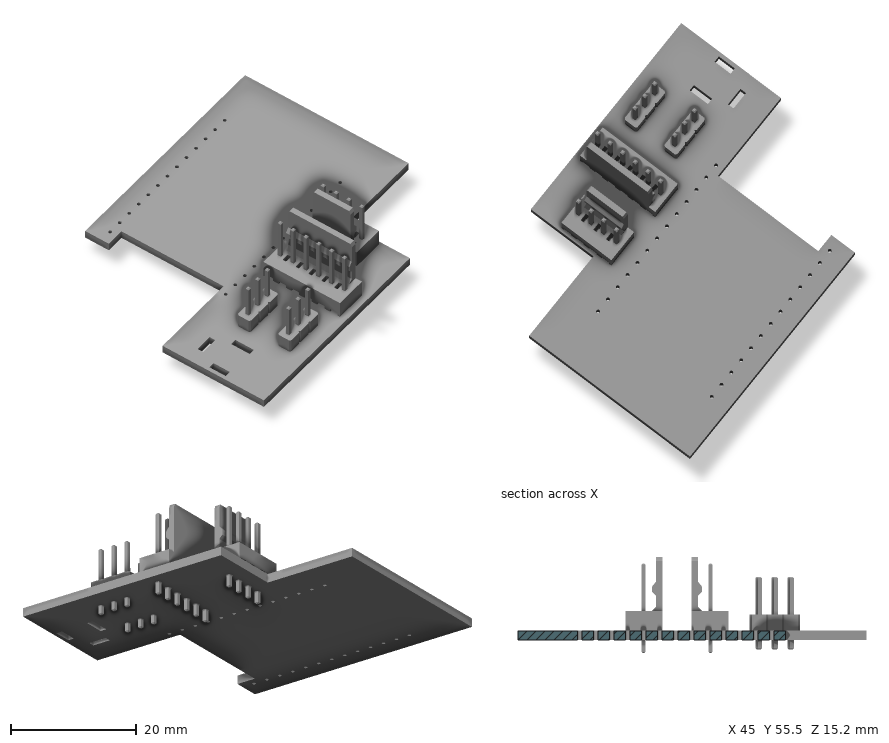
import cadquery as cq


board_width = 45.0
board_depth = 55.45
board_thickness = 1.5
back_step_x = 32.4
back_step_y = 38.9
tab_width = 4.7
tab_front_y = 12.85
notch_back_y = 16.25
front_leg_x = 24.9

row_hole_count = 13
row_length = 30.5
pitch = row_length / (row_hole_count - 1)
row_hole_diameter = 0.6
row_front_y = 15.1
left_row_x = 3.3
row_spacing_steps = 9
row_spacing = row_spacing_steps * pitch

slot_width = 1.1
long_slot = 3.65
short_slot = 3.2
slots = [
    (35.3, 7.4, long_slot, slot_width),
    (30.35, 4.4, slot_width, short_slot),
    (35.3, 1.2, short_slot, slot_width),
]

pin_size = pitch / 4
pin_tip_chamfer = 0.195

wafer_depth = 5.9
wafer_wall_face_y = 3.0
wafer_height = 3.15
wafer_end_gap = 0.1
wafer_pin_top = 10.7
wafer_pin_bottom = -3.55
wafer_hole_diameter = 1.15
vent_width = 0.65
vent_depth = 1.35
channel_width = 1.45
channel_height = 0.55

wall_top = 11.7
wall_thickness = 1.0
wall_end_inset = 1.3
wall_corner_width = 0.3
wall_corner_height = 0.65
wall_foot = 0.65
ridge_depth = 0.6
ridge_low = 5.55
ridge_face_low = 6.15
ridge_face_high = 7.05
ridge_high = 7.8

wafers = [
    (34.2, 35.45, 4, 180),
    (36.15, 24.8, 6, 0),
]

header_pin_count = 3
header_height = pitch
header_chamfer = pitch / 10
header_pin_top = 8.55
header_pin_bottom = -3.0
header_hole_diameter = 1.0
header_centres = [(33.05, 14.4), (40.75, 14.8)]


def row_offsets(count):
    """Distances of evenly pitched pins from the middle of their row."""
    return [(i - (count - 1) / 2) * pitch for i in range(count)]


def block(size_x, size_y, bottom, top):
    """Box centred on the Z axis between two heights."""
    base = cq.Workplane("XY").workplane(offset=bottom)
    return base.rect(size_x, size_y).extrude(top - bottom)


def make_pin(bottom, top):
    """Square pin with chamfered tips."""
    return block(pin_size, pin_size, bottom, top).faces("<Z or >Z").chamfer(pin_tip_chamfer)


def make_locking_wall(length):
    """Wall with a ridge, a sloped foot and cut top corners, on the +Y side of the pins."""
    outer_y = wafer_wall_face_y
    inner_y = outer_y - wall_thickness
    profile = [
        (outer_y, 0),
        (outer_y, wall_top),
        (inner_y, wall_top),
        (inner_y, ridge_high),
        (inner_y - ridge_depth, ridge_face_high),
        (inner_y - ridge_depth, ridge_face_low),
        (inner_y, ridge_low),
        (inner_y, wafer_height + wall_foot),
        (inner_y - wall_foot, wafer_height),
        (inner_y - wall_foot, 0),
    ]
    wall = cq.Workplane("YZ").polyline(profile).close().extrude(length / 2, both=True)
    corners = wall.faces(">Z").edges("|Y")
    return corners.chamfer(wall_corner_width, wall_corner_height)


def make_wafer(pin_count):
    """Wafer housing with its locking wall and pins; the origin is the middle of its pin row."""
    length = pin_count * pitch - wafer_end_gap
    housing_y = wafer_wall_face_y - wafer_depth / 2
    wafer = block(length, wafer_depth, 0, wafer_height).translate((0, housing_y, 0))
    wafer = wafer.union(make_locking_wall(length - 2 * wall_end_inset))
    for x in row_offsets(pin_count - 1):
        wafer = wafer.cut(block(vent_width, vent_depth, 0, wafer_height).translate((x, 0, 0)))
    for x in row_offsets(pin_count):
        channel = block(channel_width, wafer_depth, 0, channel_height)
        wafer = wafer.cut(channel.translate((x, housing_y, 0)))
    for x in row_offsets(pin_count):
        wafer = wafer.union(make_pin(wafer_pin_bottom, wafer_pin_top).translate((x, 0, 0)))
    return wafer


def make_header():
    """Pin header with one block per pin, centred on its middle pin."""
    header = cq.Workplane("XY")
    for y in row_offsets(header_pin_count):
        cell = block(pitch, pitch, 0, header_height).edges("|Z").chamfer(header_chamfer)
        cell = cell.union(make_pin(header_pin_bottom, header_pin_top))
        header = header.union(cell.translate((0, y, 0)))
    return header


def drill(board, points, diameter):
    """Round holes through the board."""
    holes = cq.Workplane("XY").pushPoints(points).circle(diameter / 2).extrude(-board_thickness)
    return board.cut(holes)


def make_board():
    """Stepped board with its hole rows, mounting slots and pin holes."""
    outline = [
        (0, tab_front_y),
        (tab_width, tab_front_y),
        (tab_width, notch_back_y),
        (front_leg_x, notch_back_y),
        (front_leg_x, 0),
        (board_width, 0),
        (board_width, back_step_y),
        (back_step_x, back_step_y),
        (back_step_x, board_depth),
        (0, board_depth),
    ]
    board = cq.Workplane("XY").polyline(outline).close().extrude(-board_thickness)
    row_ys = [row_front_y + i * pitch for i in range(row_hole_count)]
    for x in (left_row_x, left_row_x + row_spacing):
        board = drill(board, [(x, y) for y in row_ys], row_hole_diameter)
    for x, y, size_x, size_y in slots:
        board = board.cut(block(size_x, size_y, -board_thickness, 0).translate((x, y, 0)))
    for x, y, pin_count, _ in wafers:
        points = [(x + offset, y) for offset in row_offsets(pin_count)]
        board = drill(board, points, wafer_hole_diameter)
    for x, y in header_centres:
        points = [(x, y + offset) for offset in row_offsets(header_pin_count)]
        board = drill(board, points, header_hole_diameter)
    return board


board = make_board()

placed_wafers = []
for x, y, pin_count, turn in wafers:
    wafer = make_wafer(pin_count).rotate((0, 0, 0), (0, 0, 1), turn)
    placed_wafers.append(wafer.translate((x, y, 0)).val())

placed_headers = [make_header().translate((x, y, 0)).val() for x, y in header_centres]

result = cq.Compound.makeCompound([board.val(), *placed_wafers, *placed_headers])